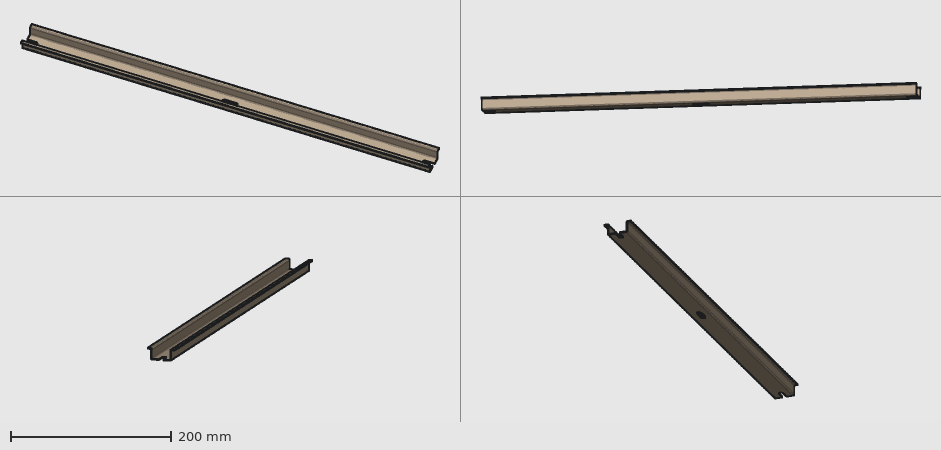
import cadquery as cq

length = 551.0
width = 35.0
height = 15.0

thickness = 1.5
channel_width = 27.0
inner_bend_radius = 0.5
outer_bend_radius = inner_bend_radius + thickness

slot_width = 5.5
slot_length = 20.5
end_slot_depth = 15.0


def rail_body():
    """Extrude the top-hat section along X, centred, and round its bends."""
    half_width = width / 2
    outer_wall = channel_width / 2
    inner_wall = outer_wall - thickness
    flange_bottom = height - thickness
    right_half = [
        (outer_wall, 0),
        (outer_wall, flange_bottom),
        (half_width, flange_bottom),
        (half_width, height),
        (inner_wall, height),
        (inner_wall, thickness),
    ]
    left_half = [(-y, z) for y, z in reversed(right_half)]
    body = (
        cq.Workplane("YZ")
        .polyline(right_half + left_half)
        .close()
        .extrude(length / 2, both=True)
    )

    def bend_edges(corners):
        """Select the lengthwise edges at the given (y, z) corners and their mirrors."""
        selector = None
        for y, z in corners:
            for side in (-1, 1):
                nearest = cq.selectors.NearestToPointSelector((0, side * y, z))
                selector = nearest if selector is None else selector + nearest
        return selector

    outside_corners = [(outer_wall, 0), (inner_wall, height)]
    inside_corners = [(inner_wall, thickness), (outer_wall, flange_bottom)]
    body = body.edges(bend_edges(outside_corners)).fillet(outer_bend_radius)
    return body.edges(bend_edges(inside_corners)).fillet(inner_bend_radius)


def slot_cutter(center_x, full_length):
    """Round-ended slot tool that passes through the floor."""
    return (
        cq.Workplane("XY")
        .center(center_x, 0)
        .slot2D(full_length, slot_width)
        .extrude(height)
    )


result = rail_body().cut(slot_cutter(0, slot_length))

for end_x in (-length / 2, length / 2):
    result = result.cut(slot_cutter(end_x, 2 * end_slot_depth))